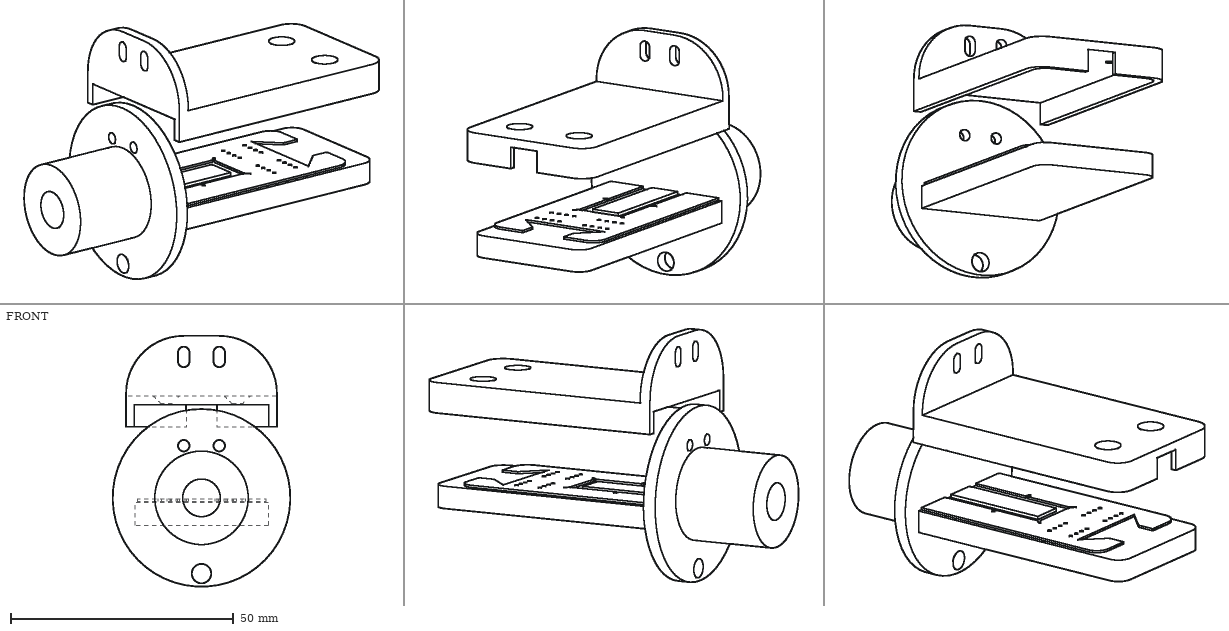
import cadquery as cq
import math


OVERALL_LENGTH = 81.5
OVERALL_HEIGHT = 56.5

FLANGE_DIA = 40.0
FLANGE_THICK = 3.0
HANDLE_DIA = 21.0
HANDLE_LENGTH = 20.0
HANDLE_BORE_DIA = 8.5
LOCATING_HOLE_DIA = 4.3
LOCATING_HOLE_DROP = 17.0
SCREW_DIA = 2.5
SCREW_X = 4.0
FLANGE_SCREW_Z = 11.7
ARM_WIDTH = 30.0
ARM_LENGTH = 57.05
ARM_THICK = 5.1
ARM_TOP_Z = -1.0
ARM_CORNER_RADIUS = 3.3

COVER_WIDTH = 34.0
COVER_LENGTH = OVERALL_LENGTH - FLANGE_THICK - HANDLE_LENGTH
COVER_BOTTOM_Z = 16.0
COVER_HEIGHT = 7.0
COVER_CORNER_RADIUS = 4.0
CAVITY_CLEARANCE = 0.2
CAVITY_DEPTH = 5.0
CABLE_NOTCH_WIDTH = 6.9
BRACKET_TOP_Z = OVERALL_HEIGHT - FLANGE_DIA / 2
BRACKET_THICK = 2.5
BRACKET_RADIUS = 12.95
BRACKET_SLOT_Z = 31.7
BRACKET_SLOT_LENGTH = 4.6
COUNTERSINK_DIA = 5.9
COUNTERSINK_ANGLE = 90
COUNTERSINK_X = 8.0
COUNTERSINK_INSET = 10.5

BOARD_WIDTH = 29.0
BOARD_FRONT_Y = 0.4
BOARD_REAR_Y = 50.5
BOARD_THICK = 0.5
BOARD_GAP = 0.25
BOARD_BOTTOM_Z = ARM_TOP_Z + BOARD_GAP
BOARD_TOP_Z = BOARD_BOTTOM_Z + BOARD_THICK
BOARD_CORNER_RADIUS = 3.3
NOTCH_NECK_HALF = 5.5
NOTCH_BASE_HALF = 10.6
NOTCH_NECK_Y = 46.5
NOTCH_BASE_Y = NOTCH_NECK_Y - (NOTCH_BASE_HALF - NOTCH_NECK_HALF)
PIN_HOLE_DIA = 0.76
PIN_HOLE_PITCH = 2.0
PIN_HOLES_PER_ROW = 4
PIN_HOLE_FIRST_X = 3.35
PIN_ROWS_Y = (32.6, 38.6)
WINDOW_HALF = 5.8
WINDOW_REAR_Y = 27.0
RELIEF_WIDTH = 0.5
CORNER_RELIEF_REACH = 1.0
SIDE_RELIEF_REACH = 1.3
SIDE_RELIEF_Y = 14.75

BLOCK_WIDTH = CABLE_NOTCH_WIDTH
BLOCK_REAR_Y = 24.85


def box(width, y_front, y_rear, z_bottom, z_top):
    """Box centred on x = 0 between the given Y and Z limits."""
    size = (width, y_rear - y_front, z_top - z_bottom)
    return cq.Workplane().box(*size, centered=(True, False, False)).translate((0, y_front, z_bottom))


def round_ended(width, y_front, y_rear, z_bottom, z_top, radius):
    """Box whose two rear upright edges are rounded."""
    return box(width, y_front, y_rear, z_bottom, z_top).edges("|Z and >Y").fillet(radius)


def cylinder_y(diameter, y_front, y_rear, x=0.0, z=0.0):
    """Cylinder along Y."""
    direction = cq.Vector(0, 1, 0)
    start = cq.Vector(x, y_front, z)
    return cq.Workplane(cq.Solid.makeCylinder(diameter / 2, y_rear - y_front, start, direction))


def make_holder():
    flange = cylinder_y(FLANGE_DIA, -FLANGE_THICK, 0)
    handle_front = -FLANGE_THICK - HANDLE_LENGTH
    handle = cylinder_y(HANDLE_DIA, handle_front, -FLANGE_THICK)
    arm = round_ended(ARM_WIDTH, 0, ARM_LENGTH, ARM_TOP_Z - ARM_THICK, ARM_TOP_Z, ARM_CORNER_RADIUS)
    holder = flange.union(handle).union(arm)

    holder = holder.cut(cylinder_y(HANDLE_BORE_DIA, handle_front, -FLANGE_THICK))
    holder = holder.cut(cylinder_y(LOCATING_HOLE_DIA, -FLANGE_THICK, 0, z=-LOCATING_HOLE_DROP))
    for x in (-SCREW_X, SCREW_X):
        holder = holder.cut(cylinder_y(SCREW_DIA, -FLANGE_THICK, 0, x, FLANGE_SCREW_Z))
    return holder


def make_bracket():
    """Upright plate with two large top corners and two vertical screw slots."""
    bracket = box(COVER_WIDTH, 0, BRACKET_THICK, COVER_BOTTOM_Z, BRACKET_TOP_Z)
    bracket = bracket.edges("|Y and >Z").fillet(BRACKET_RADIUS)
    slots = (
        cq.Workplane("XZ")
        .pushPoints([(-SCREW_X, BRACKET_SLOT_Z), (SCREW_X, BRACKET_SLOT_Z)])
        .slot2D(BRACKET_SLOT_LENGTH, SCREW_DIA, 90)
        .extrude(-BRACKET_THICK)
    )
    return bracket.cut(slots)


def make_cover():
    top_z = COVER_BOTTOM_Z + COVER_HEIGHT
    ceiling_z = COVER_BOTTOM_Z + CAVITY_DEPTH
    tray = round_ended(COVER_WIDTH, 0, COVER_LENGTH, COVER_BOTTOM_Z, top_z, COVER_CORNER_RADIUS)
    tray = (
        tray.faces(">Z")
        .workplane(origin=(0, COVER_LENGTH - COUNTERSINK_INSET, top_z))
        .pushPoints([(-COUNTERSINK_X, 0), (COUNTERSINK_X, 0)])
        .cskHole(SCREW_DIA, COUNTERSINK_DIA, COUNTERSINK_ANGLE)
    )
    cavity_width = ARM_WIDTH + 2 * CAVITY_CLEARANCE
    cavity_rear = ARM_LENGTH + CAVITY_CLEARANCE
    cavity = round_ended(cavity_width, 0, cavity_rear, COVER_BOTTOM_Z, ceiling_z, ARM_CORNER_RADIUS)
    cable_notch = box(CABLE_NOTCH_WIDTH, 0, COVER_LENGTH, COVER_BOTTOM_Z, ceiling_z)
    return tray.union(make_bracket()).cut(cavity).cut(cable_notch)


def board_plane():
    return cq.Workplane("XY", origin=(0, 0, BOARD_BOTTOM_Z))


def make_rear_notch():
    """Notch in the rear edge whose sides splay out at 45 degrees to a wider base."""
    return (
        board_plane()
        .moveTo(-NOTCH_NECK_HALF, BOARD_REAR_Y)
        .lineTo(-NOTCH_NECK_HALF, NOTCH_NECK_Y)
        .lineTo(-NOTCH_BASE_HALF, NOTCH_BASE_Y)
        .lineTo(NOTCH_BASE_HALF, NOTCH_BASE_Y)
        .lineTo(NOTCH_NECK_HALF, NOTCH_NECK_Y)
        .lineTo(NOTCH_NECK_HALF, BOARD_REAR_Y)
        .close()
        .extrude(BOARD_THICK)
    )


def make_relief(x, y, reach_x, reach_y):
    """Round-ended slit centred on (x, y) that reaches the given distance to either side of it."""
    length = 2 * math.hypot(reach_x, reach_y) + RELIEF_WIDTH
    angle = math.degrees(math.atan2(reach_y, reach_x))
    return board_plane().center(x, y).slot2D(length, RELIEF_WIDTH, angle).extrude(BOARD_THICK)


def make_board():
    board = round_ended(
        BOARD_WIDTH, BOARD_FRONT_Y, BOARD_REAR_Y, BOARD_BOTTOM_Z, BOARD_TOP_Z, BOARD_CORNER_RADIUS
    )
    board = board.cut(make_rear_notch())

    board = board.cut(box(2 * WINDOW_HALF, BOARD_FRONT_Y, WINDOW_REAR_Y, BOARD_BOTTOM_Z, BOARD_TOP_Z))
    corner_reach = CORNER_RELIEF_REACH - RELIEF_WIDTH / 2 * math.sqrt(0.5)
    side_reach = SIDE_RELIEF_REACH - RELIEF_WIDTH / 2
    for side in (-1, 1):
        edge_x = side * WINDOW_HALF
        board = board.cut(make_relief(edge_x, WINDOW_REAR_Y, side * corner_reach, corner_reach))
        board = board.cut(make_relief(edge_x, SIDE_RELIEF_Y, side * side_reach, 0))

    hole_points = [
        (side * (PIN_HOLE_FIRST_X + i * PIN_HOLE_PITCH), y)
        for side in (-1, 1)
        for y in PIN_ROWS_Y
        for i in range(PIN_HOLES_PER_ROW)
    ]
    holes = board_plane().pushPoints(hole_points).circle(PIN_HOLE_DIA / 2).extrude(BOARD_THICK)
    return board.cut(holes)


def make_block():
    """Block that rises from the arm to the level of the board."""
    return box(BLOCK_WIDTH, BOARD_FRONT_Y, BLOCK_REAR_Y, ARM_TOP_Z, BOARD_TOP_Z)


holder = make_holder()
cover = make_cover()
board = make_board()
block = make_block()

result = cq.Compound.makeCompound([holder.val(), cover.val(), board.val(), block.val()])